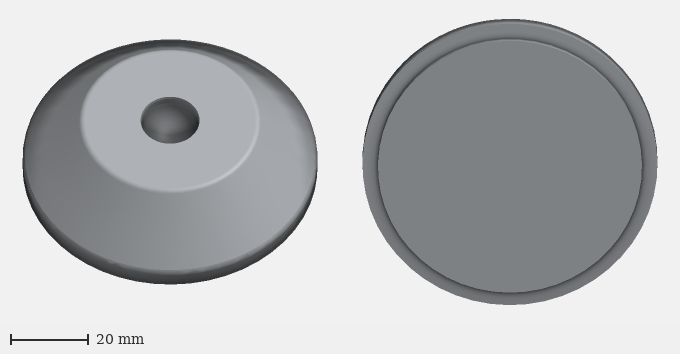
import cadquery as cq

outer_radius = 38.0
height = 22.0
cone_height = 15.2
cone_top_radius = outer_radius - cone_height
edge_fillet = 2.0

spigot_radius = 68.0 / 2
spigot_height = 2.0

mouth_radius = 7.6
mouth_flare = 0.15
mouth_depth = 0.7
socket_radius = mouth_radius - mouth_flare
socket_wall_depth = 2.4

shoulder_z = height - cone_height
body = (
    cq.Workplane("XZ")
    .moveTo(0, 0)
    .lineTo(spigot_radius, 0)
    .lineTo(spigot_radius, spigot_height)
    .lineTo(outer_radius, spigot_height)
    .lineTo(outer_radius, shoulder_z)
    .lineTo(cone_top_radius, height)
    .lineTo(0, height)
    .close()
    .revolve(360, (0, 0, 0), (0, 1, 0))
)

body = body.faces(">Z").edges().fillet(edge_fillet)
edge_search_margin = 0.75
rim_edge_box = cq.selectors.BoxSelector(
    (-outer_radius, -outer_radius, shoulder_z - edge_search_margin),
    (outer_radius, outer_radius, shoulder_z + edge_search_margin),
    boundingbox=False,
)
body = body.edges(rim_edge_box).fillet(edge_fillet)

mouth_z = height - mouth_depth
sphere_center_z = height - socket_wall_depth
socket = (
    cq.Workplane("XZ")
    .moveTo(0, height)
    .lineTo(mouth_radius, height)
    .lineTo(socket_radius, mouth_z)
    .lineTo(socket_radius, sphere_center_z)
    .radiusArc((0, sphere_center_z - socket_radius), socket_radius)
    .close()
    .revolve(360, (0, 0, 0), (0, 1, 0))
)
result = body.cut(socket)